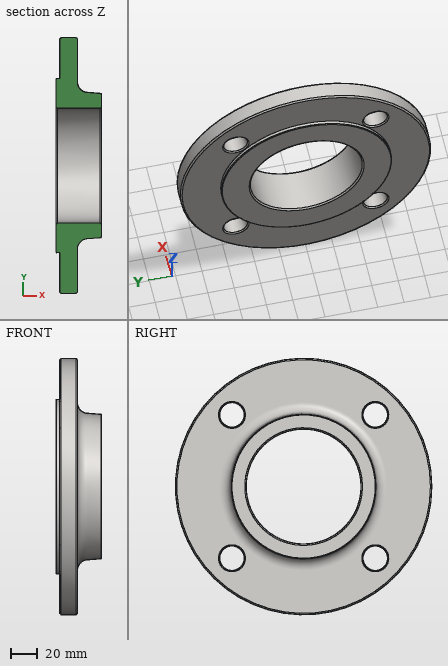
import cadquery as cq
import math

flange_radius = 95.0
flange_thickness = 13.3
flange_chamfer = 1.1

face_radius = 64.6
face_height = 2.8
face_chamfer = 0.5

total_length = 34.0
hub_root_radius = 54.3
hub_tip_radius = 53.5
hub_fillet = 7.6
hub_tip_chamfer = 0.5

bore_radius = 85.0 / 2
bore_chamfer = 1.1

bolt_count = 4
bolt_hole_radius = 18.0 / 2
bolt_hole_chamfer = 1.0
bolt_circle_radius = 75.0
first_bolt_angle = 45.0

flange_front = face_height
flange_back = flange_front + flange_thickness


def make_body():
    """Revolve the (axial, radial) half section, bore included, about the X axis."""
    fillet_end = flange_back + hub_fillet
    arc_offset = hub_fillet * (1 - math.sqrt(0.5))
    arc_middle = (flange_back + arc_offset, hub_root_radius + arc_offset)
    section = (
        cq.Workplane("XY")
        .moveTo(0, bore_radius + bore_chamfer)
        .lineTo(0, face_radius - face_chamfer)
        .lineTo(face_chamfer, face_radius)
        .lineTo(flange_front, face_radius)
        .lineTo(flange_front, flange_radius - flange_chamfer)
        .lineTo(flange_front + flange_chamfer, flange_radius)
        .lineTo(flange_back - flange_chamfer, flange_radius)
        .lineTo(flange_back, flange_radius - flange_chamfer)
        .lineTo(flange_back, hub_root_radius + hub_fillet)
        .threePointArc(arc_middle, (fillet_end, hub_root_radius))
        .lineTo(total_length - hub_tip_chamfer, hub_tip_radius)
        .lineTo(total_length, hub_tip_radius - hub_tip_chamfer)
        .lineTo(total_length, bore_radius + bore_chamfer)
        .lineTo(total_length - bore_chamfer, bore_radius)
        .lineTo(bore_chamfer, bore_radius)
        .close()
    )
    return section.revolve(360, (0, 0, 0), (1, 0, 0))


def make_bolt_hole_cutter():
    """Chamfered hole through the flange plate, placed on the X axis."""
    mouth_radius = bolt_hole_radius + bolt_hole_chamfer
    section = (
        cq.Workplane("XY")
        .moveTo(flange_front, 0)
        .lineTo(flange_front, mouth_radius)
        .lineTo(flange_front + bolt_hole_chamfer, bolt_hole_radius)
        .lineTo(flange_back - bolt_hole_chamfer, bolt_hole_radius)
        .lineTo(flange_back, mouth_radius)
        .lineTo(flange_back, 0)
        .close()
    )
    return section.revolve(360, (0, 0, 0), (1, 0, 0))


result = make_body()
bolt_hole = make_bolt_hole_cutter().translate((0, bolt_circle_radius, 0))
for index in range(bolt_count):
    angle = first_bolt_angle + index * 360 / bolt_count
    result = result.cut(bolt_hole.rotate((0, 0, 0), (1, 0, 0), angle))